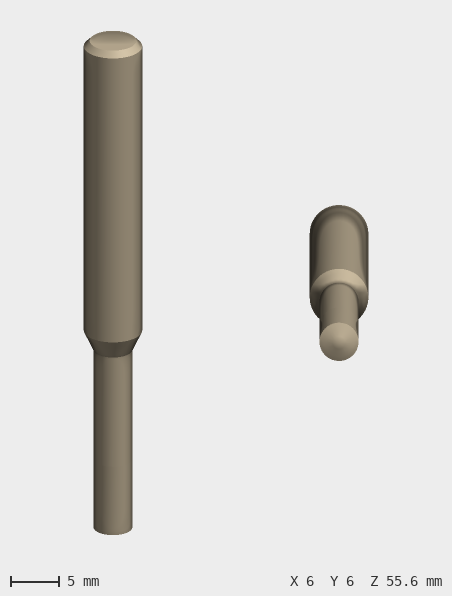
import cadquery as cq

total_length = 55.65
shank_diameter = 6.0
neck_diameter = 4.0

point_height = 0.65
tip_top = 8.4
neck_top = 20.75
shank_bottom = 22.9
chamfer = 0.6

shank_radius = shank_diameter / 2
neck_radius = neck_diameter / 2


def revolve_profile(points):
    """Turn a closed (radius, height) outline about the Z axis."""
    return cq.Workplane("XZ").polyline(points).close().revolve(360, (0, 0), (0, 1))


def make_cutting_tip():
    """Cylindrical cutting end with a shallow conical point."""
    return revolve_profile([
        (0, 0),
        (neck_radius, point_height),
        (neck_radius, tip_top),
        (0, tip_top),
    ])


def make_shank():
    """Slim neck, conical transition and chamfered clamping shank."""
    return revolve_profile([
        (0, tip_top),
        (neck_radius, tip_top),
        (neck_radius, neck_top),
        (shank_radius, shank_bottom),
        (shank_radius, total_length - chamfer),
        (shank_radius - chamfer, total_length),
        (0, total_length),
    ])


cutting_tip = make_cutting_tip()
shank = make_shank()

result = cq.Compound.makeCompound([cutting_tip.val(), shank.val()])